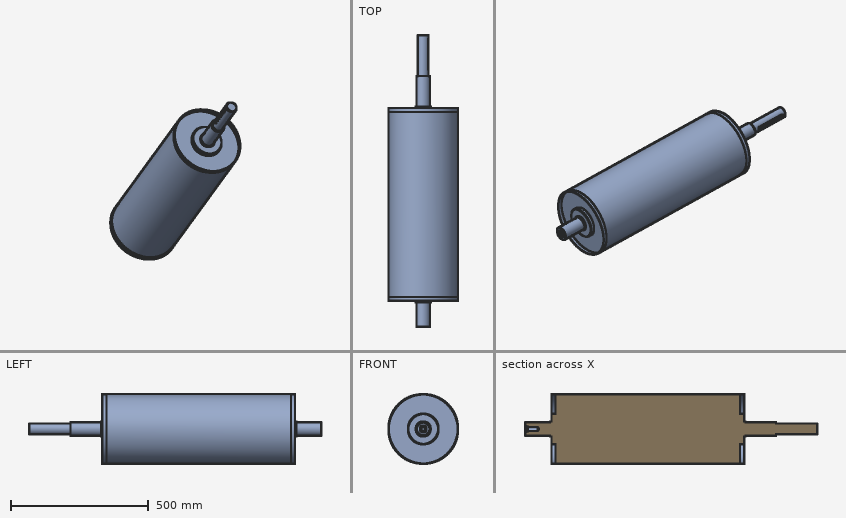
import cadquery as cq
import math

DRUM_LENGTH = 700.0
SHELL_OUTER_DIAMETER = 254.0
SHELL_INNER_DIAMETER = 250.0
END_RECESS_DEPTH = 15.0

HUB_DIAMETER = 112.0
HUB_CHAMFER = 2.0
COLLAR_DIAMETER = 55.0
COLLAR_PROJECTION = 5.0

JOURNAL_DIAMETER = 50.0
FRONT_JOURNAL_LENGTH = 95.0
REAR_SHAFT_LENGTH = 265.0
DRIVE_DIAMETER = 40.0
DRIVE_LENGTH = 150.0
SHAFT_END_CHAMFER = 2.0

KEYWAY_WIDTH = 12.0
KEYWAY_DEPTH = 5.0
KEYWAY_LENGTH = 120.0
KEYWAY_END_GAP = 10.0

CENTRE_HOLE_DIAMETER = 13.84
CENTRE_HOLE_DEPTH = 45.0
CENTRE_BORE_DIAMETER = 17.0
CENTRE_BORE_DEPTH = 3.0
CENTRE_MOUTH_DIAMETER = 25.0
CENTRE_MOUTH_ANGLE = 60.0
DRILL_POINT_ANGLE = 118.0

DRUM_REAR = DRUM_LENGTH / 2
DRUM_FRONT = -DRUM_REAR
SHAFT_REAR = DRUM_REAR + REAR_SHAFT_LENGTH
SHAFT_FRONT = DRUM_FRONT - FRONT_JOURNAL_LENGTH
DRIVE_START = SHAFT_REAR - DRIVE_LENGTH


def cylinder(diameter, y_start, y_end):
    """Solid cylinder on the Y axis between two stations."""
    base = cq.Workplane("XZ", origin=(0, y_start, 0))
    return base.circle(diameter / 2).extrude(y_start - y_end)


def drum():
    """Drum with a recessed end plate and a raised hub at each end."""
    body = cylinder(SHELL_OUTER_DIAMETER, DRUM_FRONT, DRUM_REAR)
    for side in (-1, 1):
        drum_end = side * DRUM_REAR
        plate = side * (DRUM_REAR - END_RECESS_DEPTH)
        body = body.cut(cylinder(SHELL_INNER_DIAMETER, plate, drum_end))
        hub = cylinder(HUB_DIAMETER, 0, drum_end)
        outer_face = ">Y" if side > 0 else "<Y"
        body = body.union(hub.faces(outer_face).edges().chamfer(HUB_CHAMFER))
    return body


def shaft():
    """Stepped shaft with the collars that meet the hubs."""
    collar_end = DRUM_REAR + COLLAR_PROJECTION
    journal = cylinder(JOURNAL_DIAMETER, SHAFT_FRONT, DRIVE_START)
    collars = cylinder(COLLAR_DIAMETER, -collar_end, collar_end)
    drive_end = cylinder(DRIVE_DIAMETER, DRIVE_START, SHAFT_REAR)
    journal = journal.faces("<Y").edges().chamfer(SHAFT_END_CHAMFER)
    drive_end = drive_end.faces(">Y").edges().chamfer(SHAFT_END_CHAMFER)
    return journal.union(collars).union(drive_end)


def keyway():
    """Round-ended key slot sunk from the +X side of the drive end."""
    centre_y = SHAFT_REAR - KEYWAY_END_GAP - KEYWAY_LENGTH / 2
    floor_x = DRIVE_DIAMETER / 2 - KEYWAY_DEPTH
    floor = cq.Workplane("YZ", origin=(floor_x, centre_y, 0))
    return floor.slot2D(KEYWAY_LENGTH, KEYWAY_WIDTH).extrude(KEYWAY_DEPTH)


def centre_hole():
    """Tapping hole with a drill point, a wider bore and a conical mouth, as a revolved profile."""
    hole_radius = CENTRE_HOLE_DIAMETER / 2
    bore_radius = CENTRE_BORE_DIAMETER / 2
    mouth_radius = CENTRE_MOUTH_DIAMETER / 2
    mouth_depth = (mouth_radius - bore_radius) / math.tan(math.radians(CENTRE_MOUTH_ANGLE / 2))
    mouth_end = SHAFT_FRONT + mouth_depth
    bore_end = mouth_end + CENTRE_BORE_DEPTH
    hole_end = SHAFT_FRONT + CENTRE_HOLE_DEPTH
    point_height = hole_radius / math.tan(math.radians(DRILL_POINT_ANGLE / 2))
    profile = (
        cq.Workplane("XY")
        .moveTo(0, SHAFT_FRONT)
        .lineTo(mouth_radius, SHAFT_FRONT)
        .lineTo(bore_radius, mouth_end)
        .lineTo(bore_radius, bore_end)
        .lineTo(hole_radius, bore_end)
        .lineTo(hole_radius, hole_end)
        .lineTo(0, hole_end + point_height)
        .close()
    )
    return profile.revolve(360, (0, 0, 0), (0, 1, 0))


result = drum().union(shaft()).cut(keyway()).cut(centre_hole())